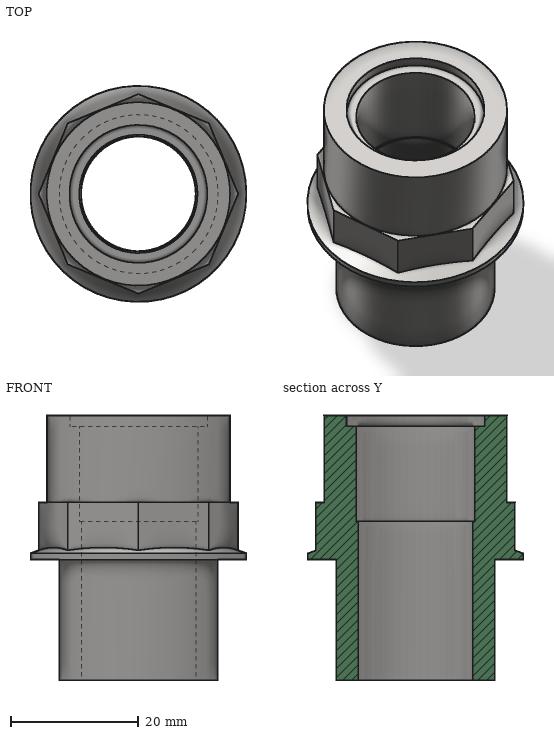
import cadquery as cq
import math

total_height = 41.7
spigot_height = 19.0
flange_rim_height = 1.0
octagon_top = 28.0

spigot_diameter = 25.0
flange_diameter = 34.0
flange_slope = 20.0
collar_diameter = 28.83
octagon_across_flats = 29.0
octagon_sides = 8

recess_diameter = 21.7
recess_depth = 1.7
socket_diameter = 18.63
socket_length = 15.0
bore_diameter = 18.0


def cylinder(diameter, bottom, top):
    """Solid cylinder on the Z axis between two heights."""
    return cq.Workplane("XY").workplane(offset=bottom).circle(diameter / 2).extrude(top - bottom)


def flange():
    """Disc with a straight rim and a conical top rising to the collar."""
    rim_radius = flange_diameter / 2
    collar_radius = collar_diameter / 2
    rim_top = spigot_height + flange_rim_height
    cone_top = rim_top + (rim_radius - collar_radius) * math.tan(math.radians(flange_slope))
    profile = (
        cq.Workplane("XZ")
        .moveTo(0, spigot_height)
        .lineTo(rim_radius, spigot_height)
        .lineTo(rim_radius, rim_top)
        .lineTo(collar_radius, cone_top)
        .lineTo(0, cone_top)
        .close()
    )
    return profile.revolve(360, (0, 0, 0), (0, 1, 0))


def octagon():
    """Wrench octagon with corners on the X and Y axes, standing on the flange."""
    across_corners = octagon_across_flats / math.cos(math.pi / octagon_sides)
    return (
        cq.Workplane("XY")
        .workplane(offset=spigot_height)
        .polygon(octagon_sides, across_corners)
        .extrude(octagon_top - spigot_height)
    )


def stepped_bore():
    """Through bore with a wider socket and an entry recess at the top."""
    recess_floor = total_height - recess_depth
    socket_floor = recess_floor - socket_length
    bore = cylinder(bore_diameter, 0, total_height)
    socket = cylinder(socket_diameter, socket_floor, total_height)
    recess = cylinder(recess_diameter, recess_floor, total_height)
    return bore.union(socket).union(recess)


spigot = cylinder(spigot_diameter, 0, spigot_height)
collar = cylinder(collar_diameter, spigot_height, total_height)
body = spigot.union(flange()).union(octagon()).union(collar)
result = body.cut(stepped_bore())